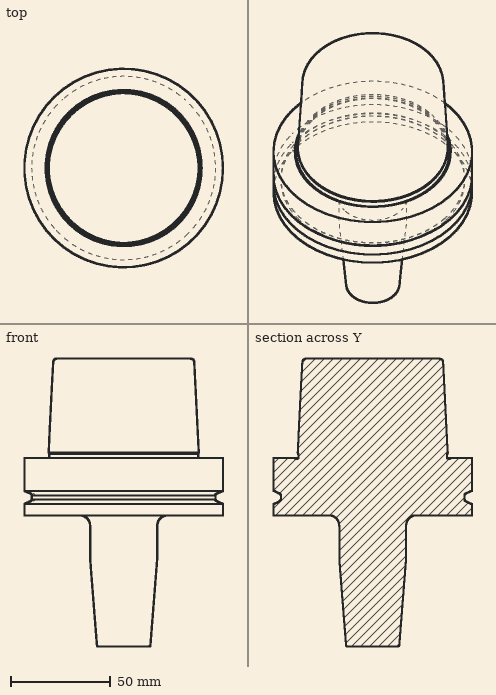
import cadquery as cq
import math

total_height = 144.9
flange_top = 94.9
flange_thickness = 29.0
flange_bottom = flange_top - flange_thickness
shank_taper_top = 44.5

head_foot_radius = 37.8
head_foot_height = 97.7
head_slope = 1 / 20
head_top_radius = head_foot_radius - head_slope * (total_height - head_foot_height)
head_edge_radius = 2.0

neck_radius = 37.5
neck_top = 96.8
relief_depth = 0.5
relief_fillet = 0.9
relief_floor = flange_top - relief_depth
relief_floor_radius = 38.5
relief_outer_radius = 39.3

flange_radius = 50.0
groove_radius = 46.2
groove_upper_edge = 78.2
groove_floor_top = 76.7
groove_floor_bottom = 73.5
groove_lower_edge = 71.7
groove_corner_radius = 0.9

shank_radius = 17.0
shank_fillet = 5.0
shank_half_angle = 4.5
tip_radius = shank_radius - shank_taper_top * math.tan(math.radians(shank_half_angle))
tip_edge_radius = 0.9

arc_inset = 1 - math.sqrt(0.5)

profile = (
    cq.Workplane("XZ")
    .lineTo(tip_radius, 0)
    .lineTo(shank_radius, shank_taper_top)
    .lineTo(shank_radius, flange_bottom - shank_fillet)
    .threePointArc(
        (shank_radius + arc_inset * shank_fillet, flange_bottom - arc_inset * shank_fillet),
        (shank_radius + shank_fillet, flange_bottom),
    )
    .lineTo(flange_radius, flange_bottom)
    .lineTo(flange_radius, groove_lower_edge)
    .lineTo(groove_radius, groove_floor_bottom)
    .lineTo(groove_radius, groove_floor_top)
    .lineTo(flange_radius, groove_upper_edge)
    .lineTo(flange_radius, flange_top)
    .lineTo(relief_outer_radius, flange_top)
    .lineTo(relief_floor_radius, relief_floor)
    .lineTo(neck_radius + relief_fillet, relief_floor)
    .threePointArc(
        (neck_radius + arc_inset * relief_fillet, relief_floor + arc_inset * relief_fillet),
        (neck_radius, relief_floor + relief_fillet),
    )
    .lineTo(neck_radius, neck_top)
    .lineTo(head_foot_radius, head_foot_height)
    .lineTo(head_top_radius, total_height)
    .lineTo(0, total_height)
    .close()
)

body = profile.revolve(360, (0, 0, 0), (0, 1, 0))

groove_corners = cq.selectors.BoxSelector(
    (-flange_radius, -flange_radius, groove_lower_edge + groove_corner_radius),
    (flange_radius, flange_radius, groove_upper_edge - groove_corner_radius),
)
body = body.edges("%CIRCLE").edges(groove_corners).fillet(groove_corner_radius)

result = body.faces(">Z").edges().fillet(head_edge_radius)
result = result.faces("<Z").edges().fillet(tip_edge_radius)